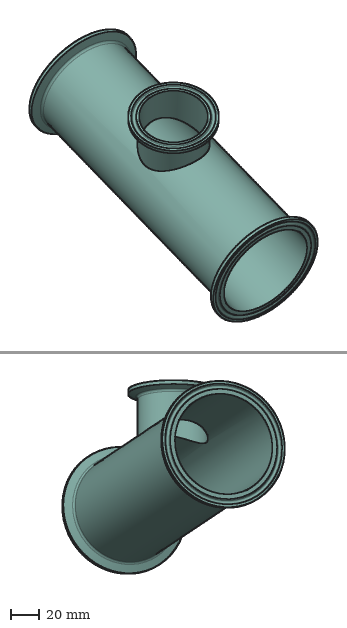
import cadquery as cq
import math

run_length = 220.0
branch_height = 63.0

run_outer_d = 76.3
run_bore_d = 72.4
run_flange_d = 91.0

branch_outer_d = 50.8
branch_bore_d = 48.5
branch_flange_d = 64.0

rim_thickness = 2.9
back_angle = math.radians(18)
neck_fillet = 2.0

groove_inset = 4.0
groove_top_width = 3.7
groove_floor_width = 2.2
groove_depth = 1.5
groove_flank_depth = 0.9


def flanged_pipe(outer_d, flange_d, length):
    """Solid pipe along +Z from the origin, with a clamp flange at its far end."""
    outer_r = outer_d / 2
    flange_r = flange_d / 2
    rim_back = length - rim_thickness
    neck_z = rim_back - (flange_r - outer_r) * math.tan(back_angle)

    turn = math.pi / 2 - back_angle
    tangent = neck_fillet * math.tan(turn / 2)
    fillet_start = (outer_r, neck_z - tangent)
    fillet_end = (outer_r + tangent * math.cos(back_angle), neck_z + tangent * math.sin(back_angle))
    fillet_middle = (
        outer_r + neck_fillet * (1 - math.cos(turn / 2)),
        fillet_start[1] + neck_fillet * math.sin(turn / 2),
    )
    profile = (
        cq.Workplane("XZ")
        .lineTo(outer_r, 0)
        .lineTo(*fillet_start)
        .threePointArc(fillet_middle, fillet_end)
        .lineTo(flange_r, rim_back)
        .lineTo(flange_r, length)
        .lineTo(0, length)
        .close()
    )
    pipe = profile.revolve(360, (0, 0, 0), (0, 1, 0))
    return pipe.cut(gasket_groove(flange_r - groove_inset, length))


def gasket_groove(centre_r, face_z):
    """Ring with sloping flanks and an arc floor, sunk into the flange face."""
    half_top = groove_top_width / 2
    half_floor = groove_floor_width / 2
    flank_z = face_z - groove_flank_depth
    section = (
        cq.Workplane("XZ")
        .moveTo(centre_r - half_top, face_z)
        .lineTo(centre_r - half_floor, flank_z)
        .threePointArc((centre_r, face_z - groove_depth), (centre_r + half_floor, flank_z))
        .lineTo(centre_r + half_top, face_z)
        .close()
    )
    return section.revolve(360, (0, 0, 0), (0, 1, 0))


run_half = flanged_pipe(run_outer_d, run_flange_d, run_length / 2)
run_right = run_half.rotate((0, 0, 0), (0, 1, 0), 90)
run = run_right.union(run_right.rotate((0, 0, 0), (0, 0, 1), 180))

branch = flanged_pipe(branch_outer_d, branch_flange_d, branch_height)

run_bore = cq.Workplane("YZ").circle(run_bore_d / 2).extrude(run_length / 2, both=True)
branch_bore = cq.Workplane("XY").circle(branch_bore_d / 2).extrude(branch_height)

result = run.union(branch).cut(run_bore).cut(branch_bore)